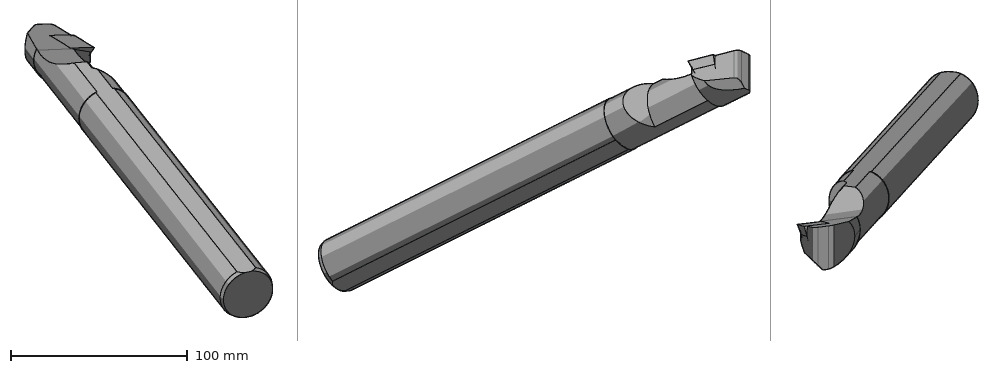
import cadquery as cq
import math

length = 300.0
shank_radius = 16.05
neck_radius = 15.75
flat_height = 15.0
neck_end = 90.0
back_chamfer_length = 2.7
back_chamfer_depth = 1.0

head_length = 23.5
head_upper_radius = 16.0
head_lower_radius = 18.5
head_lower_center = head_lower_radius - head_upper_radius
nose_top_y = 5.5
nose_bottom_y = -5.0
nose_radius = 4.5
lead_angle = 30.0
lead_slope = math.tan(math.radians(lead_angle))
heel_length = 10.5
lead_bottom_z = -13.8
bevel_size = 18.0

rake_height = 7.2
rake_slope_x = -0.11
rake_slope_y = -0.2
rake_arc_start = 24.5
rake_arc_radius = 43.2
rake_arc_end_angle = 50.0

relief_y = 8.5
relief_radius = 21.5
relief_end = 64.5
relief_cone_length = 16.5
relief_cone_slope = 0.62

insert_tip = (24.3, 21.15)
insert_side = (0.75, 14.7)
insert_edge = (12.5, 7.2)
insert_thickness = 9.3
insert_clearance = 8.0

margin = 60.0


def x_cylinder(radius, start, end, center_y=0.0):
    return cq.Workplane("YZ", origin=(start, center_y, 0)).circle(radius).extrude(end - start)


def make_shank():
    """Round shank with two flats and a shallow chamfer at the back."""
    profile = [
        (neck_end, 0),
        (neck_end, shank_radius),
        (length - back_chamfer_length, shank_radius),
        (length, shank_radius - back_chamfer_depth),
        (length, 0),
    ]
    shank = cq.Workplane("XY").polyline(profile).close().revolve(360, (0, 0, 0), (1, 0, 0))
    flats = cq.Workplane("XY").box(3 * length, 4 * shank_radius, 2 * flat_height)
    return shank.intersect(flats)


def make_neck():
    """Round neck with a top flat and a side relief that runs out as a cone."""
    neck = x_cylinder(neck_radius, head_length, neck_end)
    above_flat = cq.Workplane("XY", origin=(0, 0, flat_height)).rect(3 * length, margin).extrude(margin)
    relief_axis_y = relief_y - relief_radius
    cone_end = relief_end + relief_cone_length
    cone_end_radius = relief_radius + relief_cone_slope * relief_cone_length
    kept_profile = [
        (head_length, relief_axis_y),
        (head_length, relief_y),
        (relief_end, relief_y),
        (cone_end, relief_axis_y + cone_end_radius),
        (neck_end, relief_axis_y + cone_end_radius),
        (neck_end, relief_axis_y),
    ]
    kept = cq.Workplane("XY").polyline(kept_profile).close()
    kept = kept.revolve(360, (0, relief_axis_y, 0), (1, relief_axis_y, 0))
    return neck.cut(above_flat).intersect(kept)


def make_head():
    """Pointed plan outline trimmed by a small upper and a larger lower cylinder."""
    heel_y = -head_upper_radius
    plan = [
        (0, nose_top_y),
        (head_length, nose_top_y + lead_slope * head_length),
        (head_length, heel_y),
        (heel_length, heel_y),
        (0, nose_bottom_y),
    ]
    head = cq.Workplane("XY", origin=(0, 0, -margin / 2)).polyline(plan).close().extrude(margin)
    head = head.edges("|Z").edges("<X").fillet(nose_radius)
    upper = x_cylinder(head_upper_radius, 0, head_length)
    upper = upper.intersect(cq.Workplane("XY").rect(margin, margin).extrude(margin))
    lower = x_cylinder(head_lower_radius, 0, head_length, head_lower_center)
    lower = lower.intersect(cq.Workplane("XY").rect(margin, margin).extrude(-margin))
    head = head.intersect(upper.union(lower))

    along = cq.Vector(1, lead_slope, 0).normalized()
    outward = cq.Vector(-along.y, along.x, 0)
    start = cq.Vector(0, nose_top_y, lead_bottom_z) - along * margin
    bevel = (
        cq.Workplane(cq.Plane(origin=start.toTuple(), xDir=outward.toTuple(), normal=along.toTuple()))
        .polyline([(bevel_size, bevel_size), (-bevel_size, -bevel_size), (bevel_size, -bevel_size)])
        .close()
        .extrude(2 * margin)
    )
    return head.cut(bevel)


def make_chip_space():
    """Cutter above the rake plane, which curves up into the neck."""
    tilt = math.atan(rake_slope_y)
    local_height = rake_height * math.cos(tilt)
    local_slope = rake_slope_x * math.cos(tilt)
    start_z = local_height + local_slope * rake_arc_start
    fall = -math.atan(local_slope)
    center_x = rake_arc_start + rake_arc_radius * math.sin(fall)
    center_z = start_z + rake_arc_radius * math.cos(fall)

    def arc_point(angle):
        return (center_x + rake_arc_radius * math.sin(angle), center_z - rake_arc_radius * math.cos(angle))

    end_angle = math.radians(rake_arc_end_angle)
    end = arc_point(end_angle)
    front_x = -margin
    cutter = (
        cq.Workplane("XZ")
        .moveTo(front_x, local_height + local_slope * front_x)
        .lineTo(rake_arc_start, start_z)
        .threePointArc(arc_point((end_angle - fall) / 2), end)
        .lineTo(end[0], margin)
        .lineTo(front_x, margin)
        .close()
        .extrude(margin, both=True)
    )
    return cutter.rotate((0, 0, 0), (1, 0, 0), math.degrees(tilt))


def make_insert():
    """Four-sided cutting insert, flush with the rake plane, with tapered sides."""
    rake = cq.Plane(
        origin=(0, 0, rake_height),
        xDir=(1, 0, rake_slope_x),
        normal=(-rake_slope_x, -rake_slope_y, 1),
    )
    tip_x, tip_y = insert_tip
    plan = [
        (tip_x, tip_y),
        (tip_x - insert_edge[0], tip_y - insert_edge[1]),
        (tip_x - insert_edge[0] - insert_side[0], tip_y - insert_edge[1] - insert_side[1]),
        (tip_x - insert_side[0], tip_y - insert_side[1]),
    ]
    corners = []
    for x, y in plan:
        corner = cq.Vector(x, y, rake_height + rake_slope_x * x + rake_slope_y * y)
        local = rake.toLocalCoords(corner)
        corners.append((local.x, local.y))
    return cq.Workplane(rake).polyline(corners).close().extrude(-insert_thickness, taper=insert_clearance)


insert = make_insert()
bar = make_shank().union(make_neck()).union(make_head())
bar = bar.cut(make_chip_space()).cut(insert)

result = cq.Compound.makeCompound([*bar.solids().vals(), insert.val()])